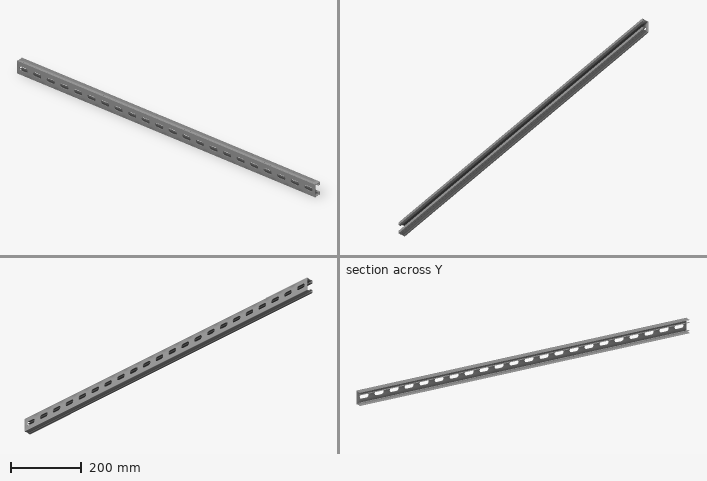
import cadquery as cq

LENGTH = 1100.0
DEPTH = 22.27
HEIGHT = 41.3

WALL = 1.5
MOUTH = 22.3
LIP_RETURN = 7.5
RECESS = 1.0
WEB_SHOULDER = 4.0
LIP_SHOULDER = 6.1
WEB_STEP_RUN = 2.0
LIP_STEP_RUN = 1.6

SLOT_LENGTH = 30.0
SLOT_WIDTH = 13.5
SLOT_PITCH = 50.0
SLOT_COUNT = int(LENGTH // SLOT_PITCH)

WEB_Y = -DEPTH / 2
OPEN_Y = DEPTH / 2
TOP_Z = HEIGHT / 2
RECESS_Z = TOP_Z - RECESS
LIP_Z = MOUTH / 2
LIP_END_Y = OPEN_Y - LIP_RETURN
WEB_STEP_Y = WEB_Y + WEB_SHOULDER
LIP_STEP_Y = OPEN_Y - LIP_SHOULDER


def curved_step(outline, start, end):
    """Run a flange outline straight to `start`, then to `end` by an S of two equal tangent arcs."""
    middle = ((start[0] + end[0]) / 2, (start[1] + end[1]) / 2)
    outline = outline.lineTo(*start)
    return outline.tangentArcPoint(middle, relative=False).tangentArcPoint(end, relative=False)


def half_section():
    """Upper half of the section: half web, recessed flange and folded lip."""
    outline = (
        cq.Workplane("YZ", origin=(-LENGTH / 2, 0, 0))
        .moveTo(WEB_Y, 0)
        .lineTo(WEB_Y, TOP_Z)
    )
    outline = curved_step(outline, (WEB_STEP_Y, TOP_Z), (WEB_STEP_Y + WEB_STEP_RUN, RECESS_Z))
    outline = curved_step(outline, (LIP_STEP_Y - LIP_STEP_RUN, RECESS_Z), (LIP_STEP_Y, TOP_Z))
    outline = (
        outline.lineTo(OPEN_Y, TOP_Z)
        .lineTo(OPEN_Y, LIP_Z)
        .lineTo(LIP_END_Y, LIP_Z)
        .lineTo(LIP_END_Y, LIP_Z + WALL)
        .lineTo(OPEN_Y - WALL, LIP_Z + WALL)
        .lineTo(OPEN_Y - WALL, TOP_Z - WALL)
    )
    outline = curved_step(
        outline, (LIP_STEP_Y, TOP_Z - WALL), (LIP_STEP_Y - LIP_STEP_RUN, RECESS_Z - WALL)
    )
    outline = curved_step(
        outline, (WEB_STEP_Y + WEB_STEP_RUN, RECESS_Z - WALL), (WEB_STEP_Y, TOP_Z - WALL)
    )
    return (
        outline.lineTo(WEB_Y + WALL, TOP_Z - WALL)
        .lineTo(WEB_Y + WALL, 0)
        .close()
    )


def channel():
    """Full-length channel, mirrored about its mid-plane."""
    upper_half = half_section().extrude(LENGTH)
    return upper_half.union(upper_half.mirror("XY")).clean()


def web_slots():
    """Evenly pitched row of round-ended slots cutting through the web."""
    return (
        cq.Workplane("XZ", origin=(0, WEB_Y, 0))
        .rarray(SLOT_PITCH, 1, SLOT_COUNT, 1)
        .slot2D(SLOT_LENGTH, SLOT_WIDTH)
        .extrude(2 * WALL, both=True)
    )


result = channel().cut(web_slots())